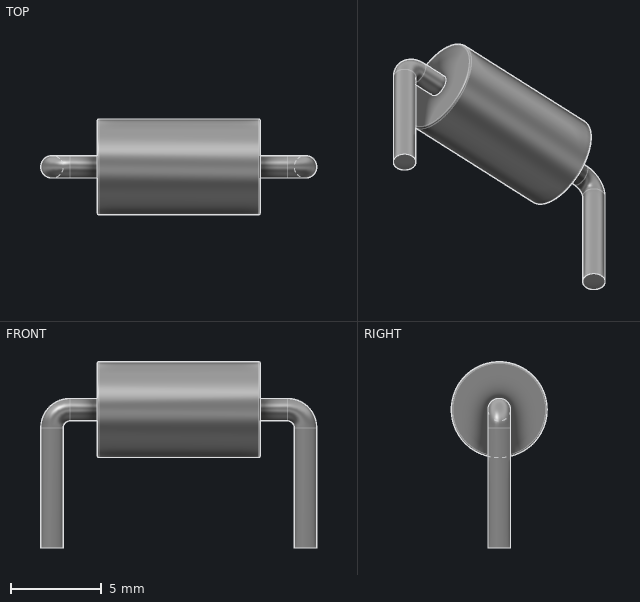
import cadquery as cq

span = 15.25
height = 10.3

body_diameter = 5.3
body_length = 9.0
edge_fillet = 0.09

wire_diameter = 1.25
bend_radius = 1.0

body_radius = body_diameter / 2
leg_x = (span - wire_diameter) / 2
leg_tip_z = body_radius - height


def make_body():
    """Cylinder centred on the origin with softened end rims."""
    return (
        cq.Workplane("YZ")
        .workplane(offset=-body_length / 2)
        .circle(body_radius)
        .extrude(body_length)
        .faces("<X or >X")
        .edges()
        .fillet(edge_fillet)
    )


def make_lead(side):
    """Round wire leaving the body centre and bending down; side is -1 or +1 along X."""
    bend_start_x = side * (leg_x - bend_radius)
    path = (
        cq.Workplane("XZ")
        .lineTo(bend_start_x, 0)
        .tangentArcPoint((side * leg_x, -bend_radius), relative=False)
        .lineTo(side * leg_x, leg_tip_z)
    )
    return cq.Workplane("YZ").circle(wire_diameter / 2).sweep(path)


result = make_body()
for side in (-1, 1):
    result = result.union(make_lead(side))